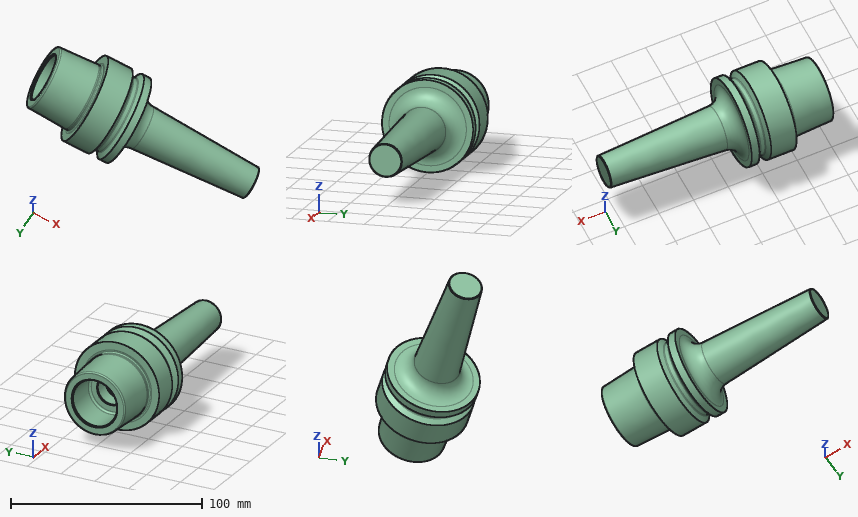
import cadquery as cq
import math


total_length = 124.9
taper_end_x = 22.6
taper_end_radius = 19.0
taper_angle = math.atan(1 / 20)
mouth_round = 0.7

undercut_start_x = 23.4
undercut_floor_x = 23.7
undercut_entry_angle = math.radians(15)
undercut_face_angle = math.radians(8)
undercut_rim_radius = 20.5
undercut_round = 0.6

flange_radius = 25.0
flange_front_x = 25.0
flange_back_x = 51.0
groove_center_x = 43.1
groove_width = 6.7
groove_floor_radius = 21.6
groove_wall_angle = math.radians(60)
groove_round = 0.5

nose_tip_radius = 9.0
nose_angle = math.radians(3)
nose_blend = 8.7
nose_chamfer = 0.4

bore_radius = 13.0
bore_depth = 18.5
bore_mouth_chamfer = 0.6
bore_floor_round = 1.1
socket_radius = 8.0
socket_depth = 10.0
socket_mouth_chamfer = 0.4
socket_floor_chamfer = 1.1


def taper_radius(x):
    return taper_end_radius - (taper_end_x - x) * math.tan(taper_angle)


def nose_radius(x):
    return nose_tip_radius + (total_length - x) * math.tan(nose_angle)


def draw_taper(outline):
    """Rounded mouth and taper."""
    slant = math.tan(math.pi / 4 - taper_angle / 2)
    corner_radius = taper_radius(0)
    tangent_length = mouth_round * slant
    round_end_x = tangent_length * math.cos(taper_angle)
    return (
        outline.lineTo(0, corner_radius - tangent_length)
        .radiusArc((round_end_x, taper_radius(round_end_x)), mouth_round)
        .lineTo(taper_end_x, taper_end_radius)
        .lineTo(undercut_start_x, taper_end_radius)
    )


def draw_undercut(outline):
    """Relief cut into the shank and slightly into the flange face."""
    entry_drop = (undercut_floor_x - undercut_start_x) * math.tan(undercut_entry_angle)
    floor_radius = taper_end_radius - entry_drop
    corner_x = flange_front_x + (undercut_rim_radius - floor_radius) * math.tan(undercut_face_angle)
    tangent_length = undercut_round * math.tan(math.pi / 4 + undercut_face_angle / 2)
    round_end = (
        corner_x - tangent_length * math.sin(undercut_face_angle),
        floor_radius + tangent_length * math.cos(undercut_face_angle),
    )
    return (
        outline.lineTo(undercut_floor_x, floor_radius)
        .lineTo(corner_x - tangent_length, floor_radius)
        .radiusArc(round_end, -undercut_round)
        .lineTo(flange_front_x, undercut_rim_radius)
    )


def draw_flange(outline):
    """Flange rim with the gripper groove, rounded at the foot of each wall."""
    groove_depth = flange_radius - groove_floor_radius
    foot_offset = groove_width / 2 - groove_depth / math.tan(groove_wall_angle)
    tangent_length = groove_round * math.tan(groove_wall_angle / 2)
    floor_offset = foot_offset - tangent_length
    wall_offset = foot_offset + tangent_length * math.cos(groove_wall_angle)
    wall_radius = groove_floor_radius + tangent_length * math.sin(groove_wall_angle)
    return (
        outline.lineTo(flange_front_x, flange_radius)
        .lineTo(groove_center_x - groove_width / 2, flange_radius)
        .lineTo(groove_center_x - wall_offset, wall_radius)
        .radiusArc((groove_center_x - floor_offset, groove_floor_radius), -groove_round)
        .lineTo(groove_center_x + floor_offset, groove_floor_radius)
        .radiusArc((groove_center_x + wall_offset, wall_radius), -groove_round)
        .lineTo(groove_center_x + groove_width / 2, flange_radius)
        .lineTo(flange_back_x, flange_radius)
    )


def draw_nose(outline):
    """Large blend from the flange face into the tapered nose."""
    blend_end_x = flange_back_x + nose_blend * (1 - math.sin(nose_angle))
    blend_end_radius = nose_radius(blend_end_x)
    blend_start_radius = blend_end_radius + nose_blend * math.cos(nose_angle)
    chamfer_x = total_length - nose_chamfer
    return (
        outline.lineTo(flange_back_x, blend_start_radius)
        .radiusArc((blend_end_x, blend_end_radius), -nose_blend)
        .lineTo(chamfer_x, nose_radius(chamfer_x))
        .lineTo(total_length, nose_tip_radius - nose_chamfer)
        .lineTo(total_length, 0)
    )


def draw_bore(outline):
    """Stepped bore, from the axis at its deepest floor out to the mouth."""
    socket_floor_x = bore_depth + socket_depth
    return (
        outline.lineTo(socket_floor_x, 0)
        .lineTo(socket_floor_x, socket_radius - socket_floor_chamfer)
        .lineTo(socket_floor_x - socket_floor_chamfer, socket_radius)
        .lineTo(bore_depth + socket_mouth_chamfer, socket_radius)
        .lineTo(bore_depth, socket_radius + socket_mouth_chamfer)
        .lineTo(bore_depth, bore_radius - bore_floor_round)
        .radiusArc((bore_depth - bore_floor_round, bore_radius), -bore_floor_round)
        .lineTo(bore_mouth_chamfer, bore_radius)
        .lineTo(0, bore_radius + bore_mouth_chamfer)
    )


outline = cq.Workplane("XY").moveTo(0, bore_radius + bore_mouth_chamfer)
for draw_stretch in (draw_taper, draw_undercut, draw_flange, draw_nose, draw_bore):
    outline = draw_stretch(outline)

result = outline.close().revolve(360, (0, 0, 0), (1, 0, 0))